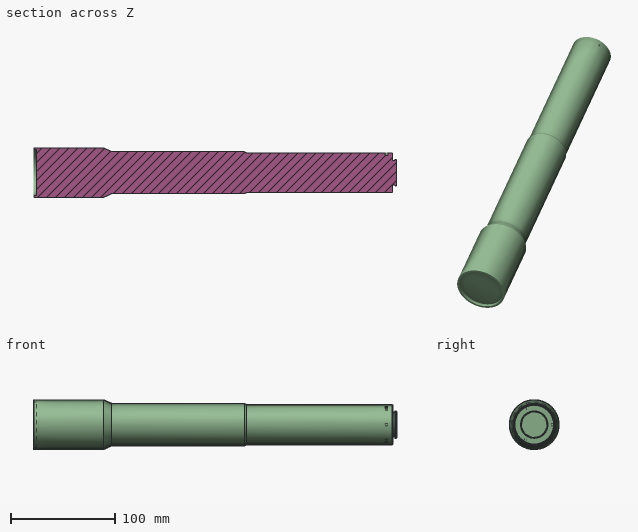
import cadquery as cq

total_length = 349.2
head_end = 67.5
cone_end = 75.0
step_start = 202.5
step_end = 204.5
collar_end = 345.5
tail_flange_start = 347.0

head_diameter = 48.0
tube_diameter = 41.0
rear_diameter = 38.8
tail_neck_diameter = 24.0
tail_flange_diameter = 26.2
recess_diameter = 43.5

recess_depth = 2.8
collar_chamfer = 0.7
flange_chamfer = 0.7
screw_hole_count = 3
screw_hole_diameter = 2.5
screw_hole_depth = 2.8
screw_hole_x = 339.0
first_screw_angle = 30.0


def turned_body():
    """Revolve the stepped half profile about the X axis."""
    head_radius = head_diameter / 2
    tube_radius = tube_diameter / 2
    rear_radius = rear_diameter / 2
    neck_radius = tail_neck_diameter / 2
    flange_radius = tail_flange_diameter / 2
    profile = [
        (0, 0),
        (0, head_radius),
        (head_end, head_radius),
        (cone_end, tube_radius),
        (step_start, tube_radius),
        (step_end, rear_radius),
        (collar_end - collar_chamfer, rear_radius),
        (collar_end, rear_radius - collar_chamfer),
        (collar_end, neck_radius),
        (tail_flange_start, neck_radius),
        (tail_flange_start, flange_radius),
        (total_length - flange_chamfer, flange_radius),
        (total_length, flange_radius - flange_chamfer),
        (total_length, 0),
    ]
    return cq.Workplane("XY").polyline(profile).close().revolve(360, (0, 0, 0), (1, 0, 0))


def head_recess():
    """Shallow round recess in the front face of the head."""
    return cq.Workplane("YZ").circle(recess_diameter / 2).extrude(recess_depth)


def screw_hole(angle):
    """Radial blind hole in the collar, turned about the X axis from +Z."""
    hole = (
        cq.Workplane("XY", origin=(screw_hole_x, 0, rear_diameter / 2 - screw_hole_depth))
        .circle(screw_hole_diameter / 2)
        .extrude(2 * screw_hole_depth)
    )
    return hole.rotate((0, 0, 0), (1, 0, 0), angle)


result = turned_body().cut(head_recess())
for index in range(screw_hole_count):
    result = result.cut(screw_hole(first_screw_angle + index * 360 / screw_hole_count))